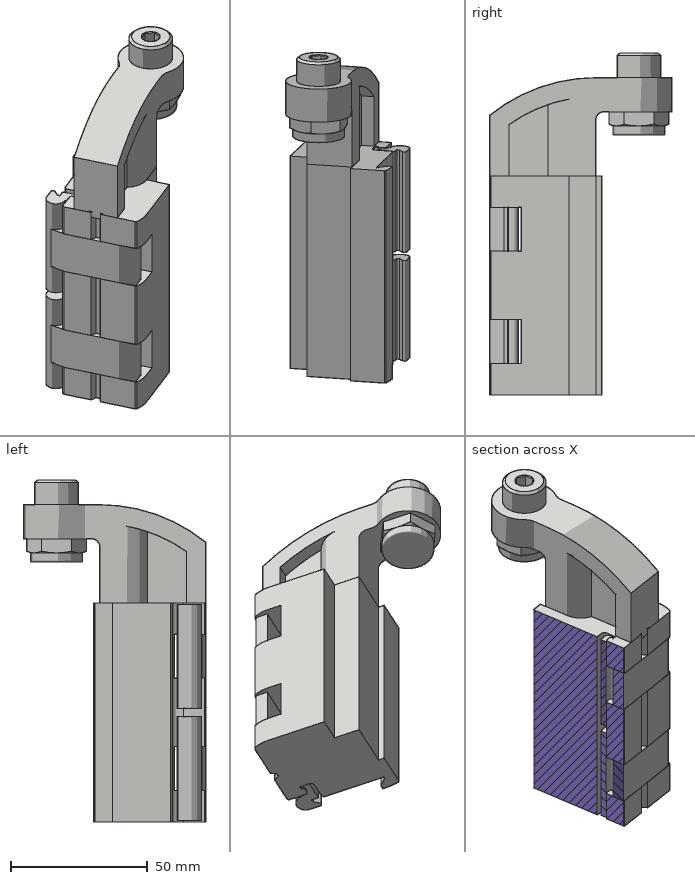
import cadquery as cq
import math


BASE_HEIGHT = 80.1
RIGHT_SIDE_X = 17.5
RIGHT_BACK_Y = 28.9
SIDE_CURVE_Y = 6.5
FRONT_RIGHT_X = 16.1
LIP_LEFT_X = -13.2
LIP_TOP_Y = 8.1
LIP_RIGHT_X = -10.1
LIP_LEFT_ROUND = 1.0
LIP_RIGHT_ROUND = 0.5
PIVOT_FLOOR_Y = 6.9
PIVOT_WALL_X = -8.9
PIVOT_ROUND = 1.4
RAIL_FACE_X = -17.2
RAIL_FACE_FRONT_Y = 12.1
RAIL_FACE_CHAMFER = 0.8
HOOK_BACK_Y = 41.0
HOOK_TIP_X = -22.5
HOOK_TIP_Y = 34.0
HOOK_TIP_WIDTH = 1.8
HOOK_SIDE_Y = 35.2
HOOK_BACK_X = -21.9
HOOK_SIDE_BULGE = 0.1
HOOK_BACK_CHAMFER = 0.5
HOOK_ROOT_Y = 36.8
HOOK_ROOT_WIDTH = 0.8
FRONT_BEVEL_WIDTH = 0.8
FRONT_BEVEL_DEPTH = 0.4

GROOVE_WIDTH = 3.8
GROOVE_FLOOR_WIDTH = 1.5
GROOVE_DEPTH = 2.0

MID_Z = BASE_HEIGHT / 2
JAW_HEIGHT = 38.0
JAW_GAP = 3.0
JAW_ROUND = 3.6
JAW_ROUND_X = -17.8
JAW_ROUND_Y = 5.1
JAW_FLAT_LEFT_X = -20.1
JAW_FLAT_RIGHT_X = -18.6
JAW_TIP_Y = 10.1
JAW_TIP_WIDTH = 1.2
JAW_TIP_ROUND = 0.8
JAW_NOTCH_X = -18.4
JAW_NOTCH_Y = 8.0
JAW_ROOT_Y = 7.6
JAW_BACK_Y = 10.5
JAW_LIP_CONTACT_Y = 6.5

CLIP_HEIGHT = 16.0
CLIP_OFFSET_Z = 20.5
CLIP_TIP_X = -18.1
CLIP_TIP_Y = 1.4
CLIP_BEND_X = -12.1
CLIP_TAPER_X = 9.1
CLIP_TAPER_DEPTH = 0.2
CLIP_RIGHT_X = 15.6
CLIP_EDGE_ROUND = 0.9
CLIP_POCKET_DEPTH = 11.5

ARM_WIDTH = 17.0
ARM_BACK_Y = 38.8
ARM_TOP_Z = 116.0
ARM_FRONT_TOP_Z = 102.2
HUB_RADIUS = 12.0
HUB_Y = 54.5
HUB_THICKNESS = 12.5
HUB_NECK_ROUND = 6.0
UNDERCUT_ROUND = 3.0
ARM_RIM = 7.0
ARM_COLUMN_Y = 28.9
ARM_POCKET_BACK_Y = 21.2
TONGUE_DEPTH = 2.0
TONGUE_RELIEF_WIDTH = 0.8
TONGUE_RELIEF_HEIGHT = 0.4

HEAD_DIAMETER = 16.0
HEAD_TOP_Z = 125.0
HEAD_TOP_DIAMETER = 14.0
HEAD_CHAMFER_HEIGHT = 0.9
SOCKET_ACROSS_FLATS = 6.0
SOCKET_ROTATION = 30.0
SOCKET_RIM_DIAMETER = 6.9
SOCKET_DEPTH = 6.2
SOCKET_TIP_DEPTH = 1.8
SHANK_DIAMETER = 10.0
NUT_ACROSS_FLATS = 19.0
NUT_ROTATION = 90.0
NUT_HEX_HEIGHT = 5.1
NUT_HEIGHT = 8.5
NUT_HEX_CHAMFER_HEIGHT = 0.6
NUT_COLLAR_ROUND = 0.5

SQRT_HALF = math.sqrt(0.5)
HEX_FLATS_TO_CORNERS = math.cos(math.pi / 6)


def groove_prism(z_low, z_high):
    """Trapezoid prism that matches the front groove between two heights."""
    return (
        cq.Workplane("XY", origin=(0, 0, z_low))
        .moveTo(-GROOVE_WIDTH / 2, 0)
        .lineTo(-GROOVE_FLOOR_WIDTH / 2, GROOVE_DEPTH)
        .lineTo(GROOVE_FLOOR_WIDTH / 2, GROOVE_DEPTH)
        .lineTo(GROOVE_WIDTH / 2, 0)
        .close()
        .extrude(z_high - z_low)
    )


def lip_top(outline):
    """Continue an outline from the pivot floor over the lip to its left side."""
    left_centre_x = LIP_LEFT_X + LIP_LEFT_ROUND
    left_centre_y = LIP_TOP_Y - LIP_LEFT_ROUND
    right_centre_x = LIP_RIGHT_X - LIP_RIGHT_ROUND
    right_centre_y = LIP_TOP_Y - LIP_RIGHT_ROUND
    return (
        outline.lineTo(LIP_RIGHT_X, PIVOT_FLOOR_Y)
        .lineTo(LIP_RIGHT_X, right_centre_y)
        .threePointArc(
            (right_centre_x + LIP_RIGHT_ROUND * SQRT_HALF, right_centre_y + LIP_RIGHT_ROUND * SQRT_HALF),
            (right_centre_x, LIP_TOP_Y),
        )
        .lineTo(left_centre_x, LIP_TOP_Y)
        .threePointArc(
            (left_centre_x - LIP_LEFT_ROUND * SQRT_HALF, left_centre_y + LIP_LEFT_ROUND * SQRT_HALF),
            (LIP_LEFT_X, left_centre_y),
        )
    )


def base_outline():
    """Cross-section of the base: rail hook, pivot channel, lip and curved right side."""
    side_inset = RIGHT_SIDE_X - FRONT_RIGHT_X
    hook_mid_x = (HOOK_BACK_X + HOOK_TIP_X) / 2 - HOOK_SIDE_BULGE
    hook_mid_y = (HOOK_BACK_Y - HOOK_BACK_CHAMFER + HOOK_SIDE_Y) / 2
    outline = (
        cq.Workplane("XY")
        .moveTo(FRONT_RIGHT_X - FRONT_BEVEL_WIDTH, 0)
        .lineTo(FRONT_RIGHT_X, FRONT_BEVEL_DEPTH)
        .threePointArc(
            (RIGHT_SIDE_X - side_inset / 4, SIDE_CURVE_Y / 2),
            (RIGHT_SIDE_X, SIDE_CURVE_Y),
        )
        .lineTo(RIGHT_SIDE_X, RIGHT_BACK_Y)
        .lineTo(ARM_WIDTH / 2, RIGHT_BACK_Y)
        .lineTo(ARM_WIDTH / 2, ARM_BACK_Y)
        .lineTo(-ARM_WIDTH / 2, ARM_BACK_Y)
        .lineTo(-ARM_WIDTH / 2, HOOK_BACK_Y)
        .lineTo(HOOK_BACK_X + HOOK_BACK_CHAMFER, HOOK_BACK_Y)
        .lineTo(HOOK_BACK_X, HOOK_BACK_Y - HOOK_BACK_CHAMFER)
        .threePointArc((hook_mid_x, hook_mid_y), (HOOK_TIP_X, HOOK_SIDE_Y))
        .lineTo(HOOK_TIP_X, HOOK_TIP_Y)
        .lineTo(HOOK_TIP_X + HOOK_TIP_WIDTH, HOOK_TIP_Y)
        .lineTo(RAIL_FACE_X - HOOK_ROOT_WIDTH, HOOK_ROOT_Y)
        .lineTo(RAIL_FACE_X, HOOK_ROOT_Y)
        .lineTo(RAIL_FACE_X, RAIL_FACE_FRONT_Y + RAIL_FACE_CHAMFER)
        .lineTo(RAIL_FACE_X + RAIL_FACE_CHAMFER, RAIL_FACE_FRONT_Y)
        .lineTo(PIVOT_WALL_X - PIVOT_ROUND, RAIL_FACE_FRONT_Y)
        .radiusArc((PIVOT_WALL_X, RAIL_FACE_FRONT_Y - PIVOT_ROUND), PIVOT_ROUND)
        .lineTo(PIVOT_WALL_X, PIVOT_FLOOR_Y)
    )
    return (
        lip_top(outline)
        .lineTo(LIP_LEFT_X, FRONT_BEVEL_DEPTH)
        .lineTo(LIP_LEFT_X + FRONT_BEVEL_WIDTH, 0)
        .close()
    )


def clip_centres():
    return [MID_Z - CLIP_OFFSET_Z, MID_Z + CLIP_OFFSET_Z]


def make_base():
    base = base_outline().extrude(BASE_HEIGHT)
    base = base.cut(groove_prism(0, BASE_HEIGHT))
    for centre_z in clip_centres():
        pocket = cq.Workplane("XY").box(
            2 * (RIGHT_SIDE_X - HOOK_TIP_X), 2 * CLIP_POCKET_DEPTH, CLIP_HEIGHT
        )
        base = base.cut(pocket.translate((0, 0, centre_z)))
    return base


def jaw_round_y(x):
    """Y of the jaw's rounded front at a given X."""
    return JAW_ROUND_Y - math.sqrt(JAW_ROUND**2 - (x - JAW_ROUND_X) ** 2)


def make_jaw(z_low):
    """Pivoting jaw that hooks over the lip of the base."""
    left_x = JAW_ROUND_X - JAW_ROUND
    outline = (
        cq.Workplane("XY", origin=(0, 0, z_low))
        .moveTo(JAW_ROUND_X + JAW_ROUND, JAW_ROUND_Y)
        .radiusArc((JAW_FLAT_RIGHT_X, jaw_round_y(JAW_FLAT_RIGHT_X)), JAW_ROUND)
        .lineTo(JAW_FLAT_LEFT_X, jaw_round_y(JAW_FLAT_LEFT_X))
        .radiusArc((left_x, JAW_ROUND_Y), JAW_ROUND)
        .lineTo(left_x, JAW_TIP_Y - JAW_TIP_ROUND)
        .radiusArc((left_x + JAW_TIP_ROUND, JAW_TIP_Y), JAW_TIP_ROUND)
        .lineTo(left_x + JAW_TIP_WIDTH, JAW_TIP_Y)
        .lineTo(JAW_NOTCH_X, JAW_NOTCH_Y)
        .lineTo(RAIL_FACE_X, JAW_ROOT_Y)
        .lineTo(RAIL_FACE_X, JAW_BACK_Y)
        .lineTo(PIVOT_WALL_X - PIVOT_ROUND, JAW_BACK_Y)
        .radiusArc((PIVOT_WALL_X, JAW_BACK_Y - PIVOT_ROUND), PIVOT_ROUND)
        .lineTo(PIVOT_WALL_X, PIVOT_FLOOR_Y)
    )
    return lip_top(outline).lineTo(LIP_LEFT_X, JAW_LIP_CONTACT_Y).close().extrude(JAW_HEIGHT)


def make_clip(centre_z):
    """Spring clip across the front, bent back at its left end to bear on a jaw."""
    return (
        cq.Workplane("XY", origin=(0, 0, centre_z - CLIP_HEIGHT / 2))
        .moveTo(CLIP_TIP_X, CLIP_TIP_Y)
        .lineTo(CLIP_BEND_X, 0)
        .lineTo(CLIP_TAPER_X, 0)
        .lineTo(CLIP_RIGHT_X - CLIP_EDGE_ROUND, CLIP_TAPER_DEPTH)
        .radiusArc((CLIP_RIGHT_X, CLIP_TAPER_DEPTH + CLIP_EDGE_ROUND), -CLIP_EDGE_ROUND)
        .lineTo(CLIP_RIGHT_X, JAW_ROUND_Y)
        .lineTo(JAW_ROUND_X + JAW_ROUND, JAW_ROUND_Y)
        .threePointArc(
            (JAW_ROUND_X + JAW_ROUND * SQRT_HALF, JAW_ROUND_Y - JAW_ROUND * SQRT_HALF),
            (CLIP_TIP_X, jaw_round_y(CLIP_TIP_X)),
        )
        .close()
        .extrude(CLIP_HEIGHT)
    )


def arch_radius():
    """Radius of the arch that leaves the flat top tangentially and ends at the front."""
    drop = ARM_TOP_Z - ARM_FRONT_TOP_Z
    return (ARM_BACK_Y**2 + drop**2) / (2 * drop)


def arch_z(radius, y):
    """Height of a circle about the arch centre at a given Y."""
    return ARM_TOP_Z - arch_radius() + math.sqrt(radius**2 - (ARM_BACK_Y - y) ** 2)


def arm_side_outline():
    """Side profile of the arm, drawn in the YZ plane."""
    hub_bottom_z = ARM_TOP_Z - HUB_THICKNESS
    radius = arch_radius()
    mid_y = ARM_BACK_Y / 2
    return (
        cq.Workplane("YZ")
        .moveTo(0, BASE_HEIGHT)
        .lineTo(0, ARM_FRONT_TOP_Z)
        .threePointArc((mid_y, arch_z(radius, mid_y)), (ARM_BACK_Y, ARM_TOP_Z))
        .lineTo(HUB_Y, ARM_TOP_Z)
        .lineTo(HUB_Y, hub_bottom_z)
        .lineTo(ARM_BACK_Y + UNDERCUT_ROUND, hub_bottom_z)
        .radiusArc((ARM_BACK_Y, hub_bottom_z - UNDERCUT_ROUND), -UNDERCUT_ROUND)
        .lineTo(ARM_BACK_Y, BASE_HEIGHT)
        .close()
    )


def make_hub():
    """Round eye with concave fillets running into the arm."""
    half_width = ARM_WIDTH / 2
    fillet_x = half_width + HUB_NECK_ROUND
    centre_distance = HUB_RADIUS + HUB_NECK_ROUND
    fillet_drop = math.sqrt(centre_distance**2 - fillet_x**2)
    touch_x = fillet_x * HUB_RADIUS / centre_distance
    touch_y = HUB_Y - fillet_drop * HUB_RADIUS / centre_distance
    neck_y = HUB_Y - fillet_drop
    return (
        cq.Workplane("XY", origin=(0, 0, ARM_TOP_Z - HUB_THICKNESS))
        .moveTo(-half_width, neck_y)
        .lineTo(half_width, neck_y)
        .radiusArc((touch_x, touch_y), HUB_NECK_ROUND)
        .threePointArc((0, HUB_Y + HUB_RADIUS), (-touch_x, touch_y))
        .radiusArc((-half_width, neck_y), HUB_NECK_ROUND)
        .close()
        .extrude(HUB_THICKNESS)
    )


def arm_side_recesses():
    """Recesses in both sides of the arm, with the round column left standing."""
    radius = arch_radius() - ARM_RIM
    mid_y = (ARM_RIM + ARM_COLUMN_Y) / 2
    column_radius = ARM_WIDTH / 2
    floor_x = math.sqrt(column_radius**2 - (ARM_COLUMN_Y - ARM_POCKET_BACK_Y) ** 2)
    window = (
        cq.Workplane("YZ")
        .moveTo(ARM_RIM, BASE_HEIGHT)
        .lineTo(ARM_RIM, arch_z(radius, ARM_RIM))
        .threePointArc((mid_y, arch_z(radius, mid_y)), (ARM_COLUMN_Y, arch_z(radius, ARM_COLUMN_Y)))
        .lineTo(ARM_COLUMN_Y, BASE_HEIGHT)
        .close()
        .extrude(ARM_WIDTH / 2, both=True)
    )
    web = cq.Workplane("XY").box(2 * floor_x, 2 * HUB_Y, 2 * ARM_TOP_Z)
    column = (
        cq.Workplane("XY").center(0, ARM_COLUMN_Y).circle(column_radius).extrude(ARM_TOP_Z)
    )
    return window.cut(web).cut(column)


def make_arm():
    arm = arm_side_outline().extrude(ARM_WIDTH / 2, both=True)
    arm = arm.union(make_hub())
    arm = arm.cut(arm_side_recesses())
    relief = cq.Workplane("XY").box(
        GROOVE_WIDTH + 2 * TONGUE_RELIEF_WIDTH, 2 * GROOVE_DEPTH, 2 * TONGUE_RELIEF_HEIGHT
    )
    arm = arm.cut(relief.translate((0, 0, BASE_HEIGHT)))
    arm = arm.union(groove_prism(BASE_HEIGHT - TONGUE_DEPTH, BASE_HEIGHT + TONGUE_RELIEF_HEIGHT))
    bolt_hole = cq.Workplane("XY").center(0, HUB_Y).circle(SHANK_DIAMETER / 2).extrude(ARM_TOP_Z)
    return arm.cut(bolt_hole)


def bolt_cylinder(diameter, z_low, z_high):
    return (
        cq.Workplane("XY", origin=(0, HUB_Y, z_low)).circle(diameter / 2).extrude(z_high - z_low)
    )


def bolt_cone(bottom_diameter, top_diameter, z_low, z_high):
    base_point = cq.Vector(0, HUB_Y, z_low)
    cone = cq.Solid.makeCone(bottom_diameter / 2, top_diameter / 2, z_high - z_low, pnt=base_point)
    return cq.Workplane("XY").add(cone)


def bolt_hexagon(across_flats, rotation, z_low, z_high):
    return (
        cq.Workplane("XY", origin=(0, HUB_Y, z_low))
        .transformed(rotate=(0, 0, rotation))
        .polygon(6, across_flats / HEX_FLATS_TO_CORNERS)
        .extrude(z_high - z_low)
    )


def make_bolt_head():
    """Chamfered head with a hexagon socket that ends in a cone."""
    shoulder_z = HEAD_TOP_Z - HEAD_CHAMFER_HEIGHT
    socket_z = HEAD_TOP_Z - SOCKET_DEPTH
    rim_depth = (SOCKET_RIM_DIAMETER - SOCKET_ACROSS_FLATS) / 2
    head = bolt_cylinder(HEAD_DIAMETER, ARM_TOP_Z, shoulder_z)
    head = head.union(bolt_cone(HEAD_DIAMETER, HEAD_TOP_DIAMETER, shoulder_z, HEAD_TOP_Z))
    head = head.cut(bolt_hexagon(SOCKET_ACROSS_FLATS, SOCKET_ROTATION, socket_z, HEAD_TOP_Z))
    head = head.cut(
        bolt_cone(SOCKET_ACROSS_FLATS, SOCKET_RIM_DIAMETER, HEAD_TOP_Z - rim_depth, HEAD_TOP_Z)
    )
    return head.cut(bolt_cone(0, SOCKET_ACROSS_FLATS, socket_z - SOCKET_TIP_DEPTH, socket_z))


def make_nut_end():
    """Hexagon, chamfered at its lower corners, with a round collar below it."""
    top_z = ARM_TOP_Z - HUB_THICKNESS
    hex_bottom_z = top_z - NUT_HEX_HEIGHT
    chamfer_top_z = hex_bottom_z + NUT_HEX_CHAMFER_HEIGHT
    across_corners = NUT_ACROSS_FLATS / HEX_FLATS_TO_CORNERS
    envelope = bolt_cylinder(across_corners, chamfer_top_z, top_z).union(
        bolt_cone(NUT_ACROSS_FLATS, across_corners, hex_bottom_z, chamfer_top_z)
    )
    hexagon = bolt_hexagon(NUT_ACROSS_FLATS, NUT_ROTATION, hex_bottom_z, top_z).intersect(envelope)
    collar = bolt_cylinder(NUT_ACROSS_FLATS, top_z - NUT_HEIGHT, hex_bottom_z)
    return hexagon.union(collar.faces("<Z").edges().fillet(NUT_COLLAR_ROUND))


def make_bolt():
    """Bolt and nut as one body, joined by the shank through the arm."""
    shank = bolt_cylinder(SHANK_DIAMETER, ARM_TOP_Z - HUB_THICKNESS, ARM_TOP_Z)
    return make_bolt_head().union(shank).union(make_nut_end())


base = make_base()
arm = make_arm()
bolt = make_bolt()
jaws = [make_jaw(z_low) for z_low in (MID_Z - JAW_GAP / 2 - JAW_HEIGHT, MID_Z + JAW_GAP / 2)]
clips = [make_clip(centre_z) for centre_z in clip_centres()]

result = cq.Compound.makeCompound(
    [
        base.val(),
        arm.val(),
        bolt.val(),
        *[jaw.val() for jaw in jaws],
        *[clip.val() for clip in clips],
    ]
)